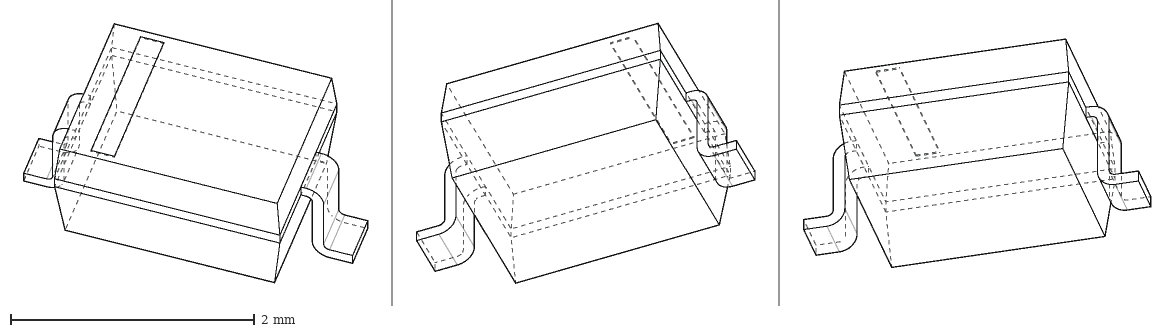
import cadquery as cq

overall_length = 2.85
package_height = 1.15

case_length = 1.952
case_width = 1.5
case_bottom = 0.1
band_bottom = 0.7
upper_inset = 0.035
lower_inset = 0.068

lead_thickness = 0.1
lead_width = 0.4
leg_setback = 0.25
inner_bend_radius = 0.05
outer_bend_radius = inner_bend_radius + lead_thickness

mark_length = 1.3
mark_width = 0.202
mark_left = -0.693
mark_depth = 0.01

band_top = band_bottom + lead_thickness


def make_mark():
    """Polarity bar, with its top face flush with the top of the case."""
    return (
        cq.Workplane("XY")
        .workplane(offset=package_height - mark_depth)
        .center(mark_left + mark_width / 2, 0)
        .rect(mark_width, mark_length)
        .extrude(mark_depth)
    )


def make_tapered_half(parting_height, end_height, inset):
    """Case half from the full outline at the band to an inset end face."""
    return (
        cq.Workplane("XY")
        .workplane(offset=parting_height)
        .rect(case_length, case_width)
        .workplane(offset=end_height - parting_height)
        .rect(case_length - 2 * inset, case_width - 2 * inset)
        .loft(ruled=True)
    )


def make_band():
    """Straight-sided middle layer of the case."""
    return (
        cq.Workplane("XY")
        .workplane(offset=band_bottom)
        .rect(case_length, case_width)
        .extrude(lead_thickness)
    )


def make_left_lead():
    """Gull-wing lead: two plates and a leg, joined by concentric bends."""
    toe = -overall_length / 2
    leg_outside = toe + leg_setback
    leg_inside = leg_outside + lead_thickness
    case_side = -case_length / 2
    profile = (
        cq.Workplane("XZ", origin=(0, lead_width / 2, 0))
        .moveTo(toe, 0)
        .lineTo(leg_inside - outer_bend_radius, 0)
        .radiusArc((leg_inside, outer_bend_radius), -outer_bend_radius)
        .lineTo(leg_inside, band_bottom - inner_bend_radius)
        .radiusArc((leg_inside + inner_bend_radius, band_bottom), inner_bend_radius)
        .lineTo(case_side, band_bottom)
        .lineTo(case_side, band_top)
        .lineTo(leg_outside + outer_bend_radius, band_top)
        .radiusArc((leg_outside, band_top - outer_bend_radius), -outer_bend_radius)
        .lineTo(leg_outside, lead_thickness + inner_bend_radius)
        .radiusArc((leg_outside - inner_bend_radius, lead_thickness), inner_bend_radius)
        .lineTo(toe, lead_thickness)
        .close()
    )
    return profile.extrude(lead_width)


mark = make_mark()
upper_case = make_tapered_half(band_top, package_height, upper_inset).cut(mark)
band = make_band()
lower_case = make_tapered_half(band_bottom, case_bottom, lower_inset)

leads = []
for turn in (0, 180):
    leads.append(make_left_lead().rotate((0, 0, 0), (0, 0, 1), turn))

result = cq.Compound.makeCompound(
    [upper_case.solids().val(), band.val(), lower_case.val(), mark.val(), *[lead.val() for lead in leads]]
)